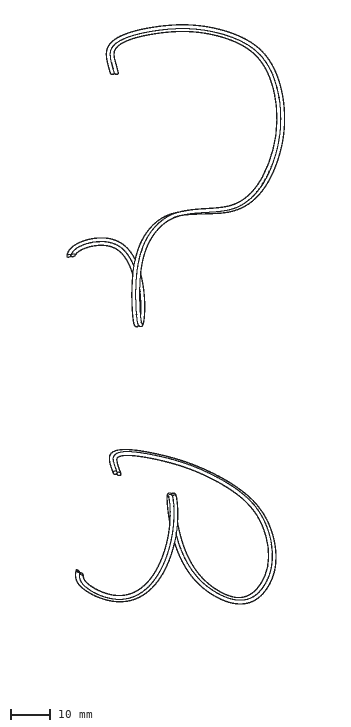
import cadquery as cq
import math

wire_diameter = 1.0
contact_clearance = 0.006
side_offset = (wire_diameter + contact_clearance) / 2

middle_points = [
    (-11.24, -14.33, 25.19),
    (-11.52, -15.23, 29.58),
    (-11.56, -15.37, 34.05),
    (-8.36, -4.90, 40.99),
    (-4.42, 7.99, 41.13),
    (-1.22, 18.78, 34.97),
    (0.29, 24.43, 22.25),
    (0.54, 25.66, 8.75),
    (0.06, 23.99, -4.71),
    (-2.24, 13.57, -20.96),
    (-2.78, 6.87, -20.62),
    (1.49, -5.08, -16.26),
    (9.71, -13.52, -16.75),
    (14.98, -16.70, -29.79),
    (12.05, -15.05, -40.59),
    (-2.25, -10.85, -40.16),
    (-12.89, -13.99, -35.77),
    (-14.72, -21.20, -35.60),
    (-13.81, -24.30, -35.94),
    (-11.48, -25.92, -35.97),
]

hook_end_z = 25.92
tail_end_x = -12.25
cutter_size = 6.0

hook_plane_direction = cq.Vector(0.3, 1, 0)

turns = [-0.01, -0.06, -0.05, -0.03, -0.11, -1.11, -1.75, -1.85, -1.53]

station_count = 120


def turn_at(fraction):
    """Turn of the pair at a fraction of its length, interpolated between the even steps."""
    place = fraction * (len(turns) - 1)
    step = min(int(place), len(turns) - 2)
    return turns[step] + (turns[step + 1] - turns[step]) * (place - step)


def wire_centre_points():
    """Centre points of the two wires, one list on each side of the middle line."""
    middle = cq.Edge.makeSpline([cq.Vector(*point) for point in middle_points])
    side = hook_plane_direction
    first, second = [], []
    for station in range(station_count):
        fraction = station / (station_count - 1)
        centre = middle.positionAt(fraction)
        tangent = middle.tangentAt(fraction).normalized()
        side = (side - tangent * side.dot(tangent)).normalized()
        turn = turn_at(fraction)
        turned_side = side * math.cos(turn) + tangent.cross(side) * math.sin(turn)
        first.append(centre + turned_side * side_offset)
        second.append(centre - turned_side * side_offset)
    return first, second


def cutter_at(x, y, z):
    """Block, centred on a point, that cuts off a wire end."""
    return cq.Workplane("XY").box(cutter_size, cutter_size, cutter_size).translate((x, y, z))


def hook_end_cutter():
    x, y, _ = middle_points[0]
    return cutter_at(x, y, hook_end_z - cutter_size / 2)


def tail_end_cutter():
    _, y, z = middle_points[-1]
    return cutter_at(tail_end_x + cutter_size / 2, y, z)


def make_wire(centre_points):
    """One round wire swept along its centre line, with both ends cut flat."""
    centre_line = cq.Edge.makeSpline(centre_points)
    start_plane = cq.Plane(origin=centre_line.startPoint(), normal=centre_line.tangentAt(0))
    path = cq.Workplane(obj=cq.Wire.assembleEdges([centre_line]))
    rod = cq.Workplane(start_plane).circle(wire_diameter / 2).sweep(path)
    return rod.cut(hook_end_cutter()).cut(tail_end_cutter())


wires = [make_wire(centre_points) for centre_points in wire_centre_points()]

result = cq.Compound.makeCompound([wire.val() for wire in wires])